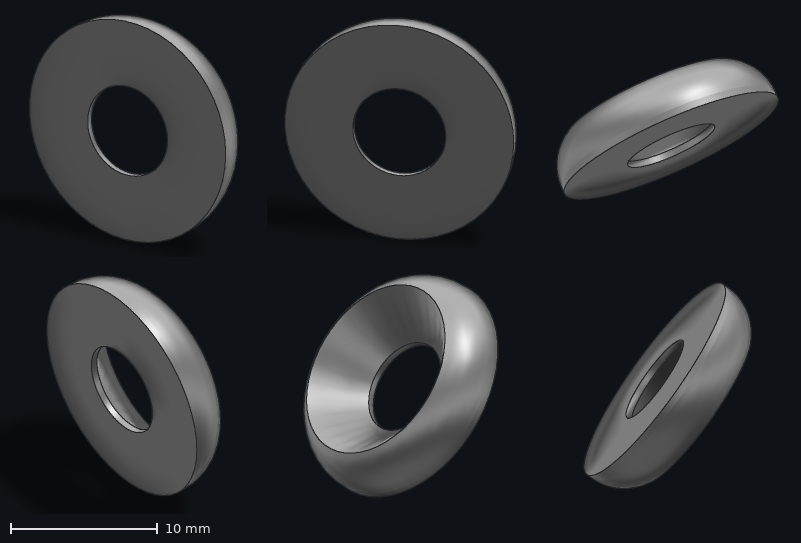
import cadquery as cq
import math

outer_diameter = 16.0
bore_diameter = 6.5
back_diameter = 12.5
thickness = 3.5
rim_height = 0.5
bore_land = 0.5

outer_radius = outer_diameter / 2
bore_radius = bore_diameter / 2
back_radius = back_diameter / 2

dome_height = thickness - rim_height
dome_inset = outer_radius - back_radius
dome_radius = (dome_inset**2 + dome_height**2) / (2 * dome_inset)
dome_center = outer_radius - dome_radius
middle_angle = math.asin(dome_height / dome_radius) / 2
dome_middle = (
    dome_center + dome_radius * math.cos(middle_angle),
    rim_height + dome_radius * math.sin(middle_angle),
)

result = (
    cq.Workplane("XY")
    .moveTo(bore_radius, 0)
    .lineTo(outer_radius, 0)
    .lineTo(outer_radius, rim_height)
    .threePointArc(dome_middle, (back_radius, thickness))
    .lineTo(bore_radius, bore_land)
    .close()
    .revolve(360, (0, 0, 0), (0, 1, 0))
)